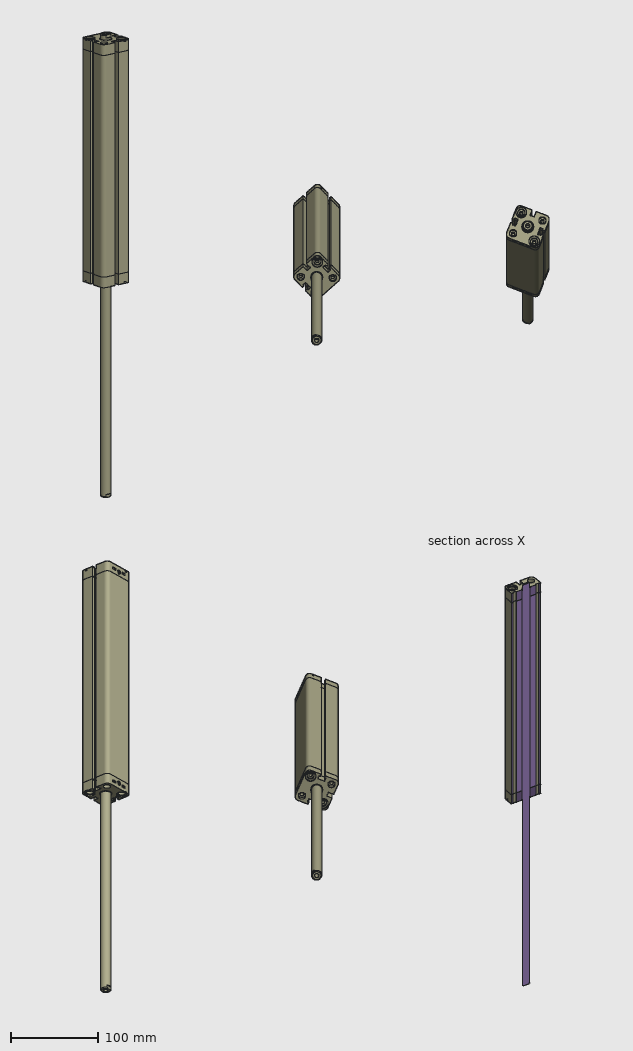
import cadquery as cq
import math

total_length = 551.0
housing_length = 289.0
cap_length = 12.5
rod_stickout = 6.0
cap_top = total_length - rod_stickout
barrel_top = cap_top - cap_length
cap_bottom = cap_top - housing_length
barrel_bottom = cap_bottom + cap_length

side = 40.0
corner_radius = 5.0
slot_neck_width = 5.0
slot_inner_width = 8.0
slot_depth = 6.5
slot_lip = 3.0
plain_slot_angle = 0
t_slot_angles = (90, 270)

rod_diameter = 12.0
rod_flats = 10.0
flat_length = 4.0
rod_chamfer = 1.0
rod_hole_diameter = 4.9
rod_hole_depth = 12.0
rod_recess_diameter = 14.0
rod_recess_depth = 0.2

hole_spacing = 26.0
recessed_hole_angles = (45, 225)
corner_hole_angles = (45, 135, 225, 315)
screw_recess_diameter = 12.0
screw_recess_depth = 0.3
counterbore_diameter = 8.0
counterbore_depth = 0.9
corner_hole_diameter = 4.15

port_height = 1.3
port_diameter = 4.9
port_depth = 1.5
port_core_diameter = 4.15
port_core_depth = 5.5
pocket_height = 1.1
pocket_offset = 8.0
pocket_length = 5.0
pocket_width = 2.0
pocket_depth = 0.5


def cylinder(diameter, bottom, top, x=0, y=0):
    """Upright cylinder between two heights."""
    return cq.Workplane("XY", origin=(x, y, bottom)).circle(diameter / 2).extrude(top - bottom)


def plain_slot(bottom, top, angle):
    """Cutter for a straight slot in the side face that points along the given angle."""
    slot = cq.Workplane("XY", origin=(side / 2 - slot_depth / 2, 0, bottom))
    slot = slot.rect(slot_depth, slot_neck_width).extrude(top - bottom)
    return slot.rotate((0, 0, 0), (0, 0, 1), angle)


def t_slot(bottom, top, angle):
    """Cutter for a plain slot that widens behind a lip."""
    inner_depth = slot_depth - slot_lip
    inner = cq.Workplane("XY", origin=(side / 2 - slot_lip - inner_depth / 2, 0, bottom))
    inner = inner.rect(inner_depth, slot_inner_width).extrude(top - bottom)
    inner = inner.rotate((0, 0, 0), (0, 0, 1), angle)
    return plain_slot(bottom, top, angle).union(inner)


def slotted_block(bottom, top):
    """Length of the rounded square section with its slots and the rod bore."""
    block = cq.Workplane("XY", origin=(0, 0, bottom)).rect(side, side).extrude(top - bottom)
    block = block.edges("|Z").fillet(corner_radius)
    block = block.cut(plain_slot(bottom, top, plain_slot_angle))
    for angle in t_slot_angles:
        block = block.cut(t_slot(bottom, top, angle))
    return block.cut(cylinder(rod_diameter, bottom, top))


def corner_position(angle):
    """X and Y of the corner hole that lies in the given diagonal direction."""
    reach = hole_spacing / math.sqrt(2)
    return reach * math.cos(math.radians(angle)), reach * math.sin(math.radians(angle))


def make_cap(outer_face, inner_face):
    """End cap whose holes and heights start from its outer face."""
    inward = math.copysign(5.5, inner_face - outer_face)
    recess_floor = outer_face + inward * rod_recess_depth
    screw_recess_floor = outer_face + inward * screw_recess_depth
    counterbore_floor = outer_face + inward * counterbore_depth
    port_z = outer_face + inward * port_height
    pocket_z = outer_face + inward * pocket_height

    cap = slotted_block(min(outer_face, inner_face), max(outer_face, inner_face))
    cap = cap.cut(cylinder(rod_recess_diameter, outer_face, recess_floor))

    for angle in corner_hole_angles:
        x, y = corner_position(angle)
        cap = cap.cut(cylinder(corner_hole_diameter, outer_face, inner_face, x, y))
        cap = cap.cut(cylinder(counterbore_diameter, outer_face, counterbore_floor, x, y))
        if angle in recessed_hole_angles:
            cap = cap.cut(cylinder(screw_recess_diameter, outer_face, screw_recess_floor, x, y))

    port_face = cq.Workplane("YZ", origin=(-side / 2, 0, port_z))
    cap = cap.cut(port_face.circle(port_diameter / 2).extrude(port_depth))
    cap = cap.cut(port_face.circle(port_core_diameter / 2).extrude(port_core_depth))

    for y in (-pocket_offset, pocket_offset):
        pocket_face = cq.Workplane("YZ", origin=(-side / 2, y, pocket_z))
        cap = cap.cut(pocket_face.rect(pocket_length, pocket_width).extrude(pocket_depth))
    return cap


def make_rod():
    """Through rod with wrench flats and a blind threaded hole at both ends."""
    rod = cylinder(rod_diameter, 0, total_length)
    rod = rod.faces("<Z or >Z").chamfer(rod_chamfer)
    flat_depth = (rod_diameter - rod_flats) / 2
    flat_middles = (flat_length / 2, total_length - flat_length / 2)
    for middle in flat_middles:
        for direction in (-1, 1):
            cutter = cq.Workplane("XY").box(flat_depth, rod_diameter, flat_length)
            x = direction * (rod_flats + flat_depth) / 2
            rod = rod.cut(cutter.translate((x, 0, middle)))
    rod = rod.cut(cylinder(rod_hole_diameter, 0, rod_hole_depth))
    return rod.cut(cylinder(rod_hole_diameter, total_length - rod_hole_depth, total_length))


barrel = slotted_block(barrel_bottom, barrel_top)
caps = [
    make_cap(cap_top, barrel_top),
    make_cap(cap_bottom, barrel_bottom),
]
rod = make_rod()

result = cq.Compound.makeCompound([barrel.val(), *[cap.val() for cap in caps], rod.val()])